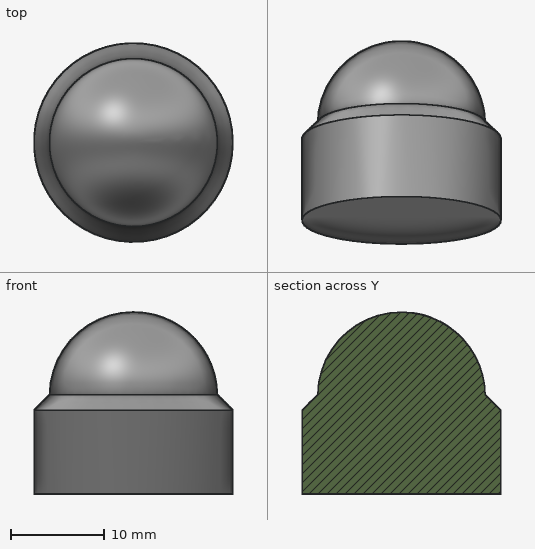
import cadquery as cq
import math

base_diameter = 21.3
dome_diameter = 17.98
skirt_height = 8.99
total_height = 19.5

base_radius = base_diameter / 2
dome_radius = dome_diameter / 2

shoulder_height = base_radius - dome_radius
dome_base_z = skirt_height + shoulder_height

dome_height = total_height - dome_base_z
sphere_radius = (dome_radius**2 + dome_height**2) / (2 * dome_height)
sphere_center_z = total_height - sphere_radius
arc_middle_offset = sphere_radius * math.sqrt(0.5)
arc_middle = (arc_middle_offset, sphere_center_z + arc_middle_offset)

half_profile = (
    cq.Workplane("XZ")
    .moveTo(0, 0)
    .lineTo(base_radius, 0)
    .lineTo(base_radius, skirt_height)
    .lineTo(dome_radius, dome_base_z)
    .threePointArc(arc_middle, (0, total_height))
    .close()
)

result = half_profile.revolve(360, (0, 0, 0), (0, 1, 0))